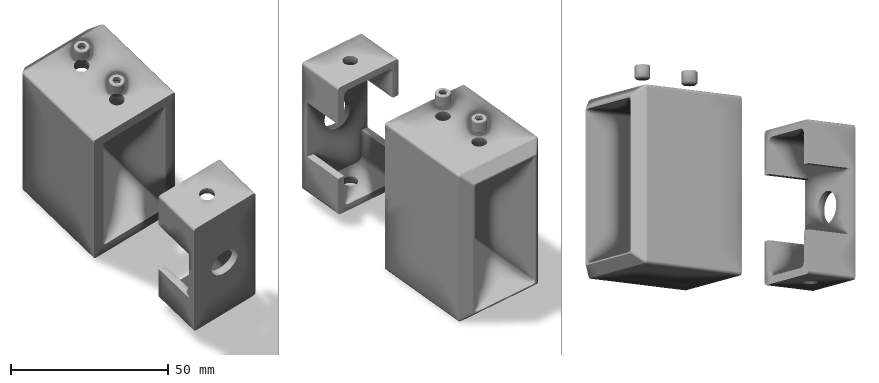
import cadquery as cq

edge_radius = 1.0
screw_diameter = 5.0
bracket_length = 18.0
bracket_width = 25.0
bracket_height = 50.0

housing_length = 40.0
housing_wall = 4.0
housing_width = bracket_width + 2 * housing_wall
housing_height = bracket_height + 2 * housing_wall
rim_width = 0.5
bevel = housing_wall - rim_width
first_screw_x = 13.0
screw_xs = [first_screw_x, first_screw_x + bracket_length]

overall_length = 86.11
bracket_x = overall_length - bracket_length
bracket_wall = 2.5
pocket_radius = 2.0
window_height = 21.4
cable_hole_diameter = 10.5

screw_length = 4.5
screw_gap = 5.0
screw_z = housing_height / 2 + screw_gap
screw_tip_chamfer = 0.5
screw_head_chamfer = 0.25
socket_corners = 3.0
socket_depth = 2.0


def bar_along_x(start_x, length, width, height):
    """Rectangular bar centred on the X axis, starting at start_x."""
    return cq.Workplane("YZ", origin=(start_x, 0, 0)).rect(width, height).extrude(length)


def vertical_cylinder(x, base_z, diameter, height):
    """Upright cylinder in the middle plane of the part."""
    return cq.Workplane("XY", origin=(x, 0, base_z)).circle(diameter / 2).extrude(height)


def make_housing():
    block = bar_along_x(0, housing_length, housing_width, housing_height)
    block = block.faces("<X").chamfer(bevel)
    ends = block.faces("<X or >X").edges().vals()
    rounded = [e for e in block.edges().vals() if not any(e.isSame(end) for end in ends)]
    block = block.newObject(rounded).fillet(edge_radius)

    opening = bar_along_x(0, housing_length, bracket_width, bracket_height)
    housing = block.cut(opening.edges("|X").fillet(edge_radius))

    for x in screw_xs:
        housing = housing.cut(vertical_cylinder(x, bracket_height / 2, screw_diameter, housing_wall))
    return housing


def make_bracket():
    block = bar_along_x(bracket_x, bracket_length, bracket_width, bracket_height)
    block = block.edges("|X").fillet(edge_radius)

    pocket_depth = bracket_length - bracket_wall
    pocket = bar_along_x(
        bracket_x, pocket_depth, bracket_width - 2 * bracket_wall, bracket_height - 2 * bracket_wall
    )
    pocket = pocket.edges("|X").fillet(pocket_radius)
    window = bar_along_x(bracket_x, pocket_depth, bracket_width, window_height)

    cable_hole = (
        cq.Workplane("YZ", origin=(bracket_x, 0, 0)).circle(cable_hole_diameter / 2).extrude(bracket_length)
    )
    clamp_hole = vertical_cylinder(
        bracket_x + bracket_length / 2, -bracket_height / 2, screw_diameter, bracket_height
    )
    return block.cut(pocket).cut(window).cut(cable_hole).cut(clamp_hole)


def make_set_screw(x):
    screw = vertical_cylinder(x, screw_z, screw_diameter, screw_length)
    screw = screw.faces("<Z").chamfer(screw_tip_chamfer)
    screw = screw.faces(">Z").chamfer(screw_head_chamfer)
    socket = (
        cq.Workplane("XY", origin=(x, 0, screw_z + screw_length))
        .polygon(6, socket_corners)
        .extrude(-socket_depth)
    )
    return screw.cut(socket)


housing = make_housing()
bracket = make_bracket()
set_screws = [make_set_screw(x) for x in screw_xs]

result = cq.Compound.makeCompound(
    [housing.val(), bracket.val(), *[screw.val() for screw in set_screws]]
)